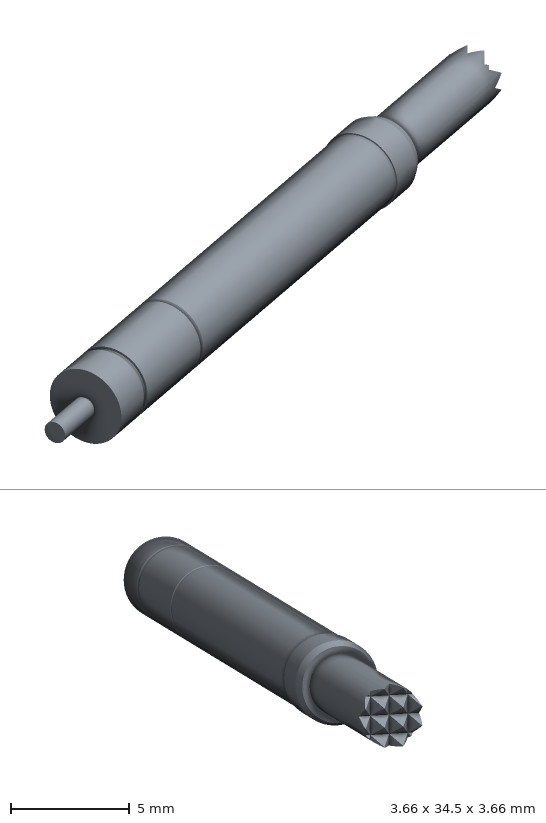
import cadquery as cq

total_length = 34.5
tail_length = 2.38
neck_length = 0.15
barrel_start = tail_length + neck_length
collar_start = 25.0
collar_taper_start = 26.55
collar_end = 26.98

end_groove_start = 4.35
end_groove_floor_start = end_groove_start + 0.2
end_groove_end = end_groove_floor_start + 0.1

ring_groove_start = 9.0
ring_groove_width = 0.2
ring_groove_middle = ring_groove_start + ring_groove_width / 2
ring_groove_end = ring_groove_start + ring_groove_width

tail_diameter = 1.0
plunger_diameter = 2.65
tail_radius = tail_diameter / 2
neck_radius = 0.4
barrel_radius = 1.75
groove_depth = 0.1
groove_radius = barrel_radius - groove_depth
collar_radius = 1.83
collar_end_radius = 1.65
plunger_radius = plunger_diameter / 2

serration_pitch = 0.83
serration_depth = 0.7
serrations_each_side = 2


def make_turned_body():
    """Tail, barrel with two grooves, collar and plunger turned about the Y axis."""
    profile = [
        (0, 0),
        (tail_radius, 0),
        (tail_radius, tail_length),
        (neck_radius, tail_length),
        (neck_radius, barrel_start),
        (barrel_radius, barrel_start),
        (barrel_radius, end_groove_start),
        (groove_radius, end_groove_floor_start),
        (groove_radius, end_groove_end),
        (barrel_radius, end_groove_end),
        (barrel_radius, ring_groove_start),
        (groove_radius, ring_groove_middle),
        (barrel_radius, ring_groove_end),
        (barrel_radius, collar_start),
        (collar_radius, collar_start),
        (collar_radius, collar_taper_start),
        (collar_end_radius, collar_end),
        (plunger_radius, collar_end),
        (plunger_radius, total_length),
        (0, total_length),
    ]
    return cq.Workplane("XY").polyline(profile).close().revolve(360, (0, 0, 0), (0, 1, 0))


def make_serration_cutter(offset):
    """V-shaped bar along Z, centred at X = offset, that cuts one groove in the head."""
    groove = [
        (offset - serration_pitch / 2, total_length),
        (offset, total_length - serration_depth),
        (offset + serration_pitch / 2, total_length),
    ]
    return cq.Workplane("XY").polyline(groove).close().extrude(plunger_diameter, both=True)


def cut_serrations(part):
    """Cut the same set of V-grooves across the head in both directions."""
    for step in range(-serrations_each_side, serrations_each_side + 1):
        cutter = make_serration_cutter(step * serration_pitch)
        part = part.cut(cutter)
        part = part.cut(cutter.rotate((0, 0, 0), (0, 1, 0), 90))
    return part


result = cut_serrations(make_turned_body())